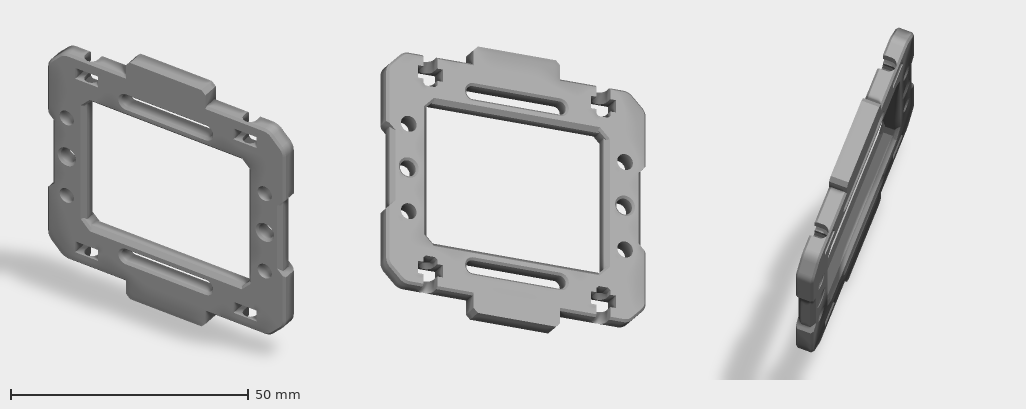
import cadquery as cq
import math

plate_width = 60.0
plate_height = 53.0
thickness = 4.0
corner_cut = 4.0
corner_radius = 3.0
rim_chamfer = 0.5

overall_height = 61.0
tab_width = 20.0
tab_chamfer = 1.0

window_width = 41.0
window_height = 31.95
window_corner_cut = 1.05
window_side_bevel = 1.0
window_corner_bevel = 0.5

recess_depth = 1.0
recess_floor_height = 18.0
recess_bevel = 1.0

slot_length = 23.0
slot_height = 3.0
slot_chamfer = 0.5
slot_offset_z = 19.95

hole_diameter = 3.6
hole_offset_x = 25.0
hole_offset_z = 10.0
countersink_depth = 0.5

pocket_offset_x = 20.0
pocket_offset_z = 22.4
pocket_width = 5.75
pocket_height = 2.8
channel_width = 3.2
channel_tip = 1.5
channel_tip_chamfer = 0.5

half_thickness = thickness / 2
through = 2 * thickness


def prism(sketch, length):
    """Extrude an XZ outline symmetrically about the mid-plane of the plate."""
    return sketch.extrude(length / 2, both=True)


def box(width, height, length):
    """Block centred on the origin with `length` along Y."""
    return prism(cq.Workplane("XZ").rect(width, height), length)


def bevelled_opening(outline, bevel):
    """Cutter through the plate that widens by `bevel` at the front and back faces."""
    cutter = prism(outline(0), thickness)
    for side in (-1, 1):
        flare = outline(bevel).extrude(bevel, taper=45)
        if side < 0:
            flare = flare.mirror("XZ")
        cutter = cutter.union(flare.translate((0, side * half_thickness, 0)))
    return cutter


def make_plate():
    """Solid plate with cut and rounded corners, chamfered rims and two plain tabs."""
    plate = box(plate_width, plate_height, thickness)
    plate = plate.edges("|Y").chamfer(corner_cut)
    plate = plate.edges("|Y").fillet(corner_radius)
    plate = plate.faces("<Y or >Y").chamfer(rim_chamfer)
    tabs = box(tab_width, overall_height, thickness).edges("|Y").chamfer(tab_chamfer)
    return plate.union(tabs)


def make_window():
    """Central window, bevelled on both faces."""
    def sides(growth):
        return cq.Workplane("XZ").rect(window_width + 2 * growth, window_height + 2 * growth)

    corner_reach = (window_width + window_height) / 2 - window_corner_cut
    corner_side = corner_reach * math.sqrt(2)

    def corners(growth):
        side = corner_side + 2 * growth
        return cq.Workplane("XZ").transformed(rotate=(0, 0, 45)).rect(side, side)

    side_cutter = bevelled_opening(sides, window_side_bevel)
    corner_cutter = bevelled_opening(corners, window_corner_bevel)
    return side_cutter.intersect(corner_cutter)


def make_recess():
    """Right edge recess: sloped ends in Z, bevelled along both faces."""
    floor_x = plate_width / 2 - recess_depth
    half_floor = recess_floor_height / 2
    inner_x = floor_x - recess_bevel
    outer_x = floor_x + 2 * recess_depth
    inner_half = half_floor - recess_bevel
    outer_half = half_floor + 2 * recess_depth
    ends = prism(
        cq.Workplane("XZ").polyline([
            (inner_x, -inner_half),
            (outer_x, -outer_half),
            (outer_x, outer_half),
            (inner_x, inner_half),
        ]).close(),
        thickness,
    )
    floor_half_y = half_thickness - recess_bevel
    bevels = cq.Workplane("XY").polyline([
        (inner_x, -half_thickness),
        (floor_x, -floor_half_y),
        (floor_x, floor_half_y),
        (inner_x, half_thickness),
        (outer_x, half_thickness),
        (outer_x, -half_thickness),
    ]).close().extrude(outer_half, both=True)
    return ends.intersect(bevels)


def make_slot():
    """Round-ended slot, chamfered on both faces."""
    def outline(growth):
        return cq.Workplane("XZ").slot2D(slot_length + 2 * growth, slot_height + 2 * growth)

    return bevelled_opening(outline, slot_chamfer)


def make_countersunk_hole():
    """Round hole, countersunk on both faces."""
    def outline(growth):
        return cq.Workplane("XZ").circle(hole_diameter / 2 + growth)

    return bevelled_opening(outline, countersink_depth)


def make_nut_pocket():
    """Upper nut pocket with its screw channel, centred on X = 0."""
    pocket = box(pocket_width, pocket_height, through).translate((0, 0, pocket_offset_z))

    half_width = channel_width / 2
    tip_z = pocket_offset_z - pocket_height / 2 - channel_tip
    channel = (
        cq.Workplane("XY", origin=(0, 0, tip_z))
        .moveTo(-half_width, thickness)
        .lineTo(-half_width, 0)
        .threePointArc((0, -half_width), (half_width, 0))
        .lineTo(half_width, thickness)
        .close()
        .extrude(overall_height / 2 - tip_z)
    )
    tip_block = box(channel_width, overall_height, 2 * through)
    tip_block = tip_block.edges("|Y").chamfer(channel_tip_chamfer)
    tip_block = tip_block.translate((0, 0, tip_z + overall_height / 2))
    channel = channel.intersect(tip_block)
    return pocket.union(channel)


result = make_plate().cut(make_window())

recess = make_recess()
result = result.cut(recess).cut(recess.mirror("YZ"))

for side_z in (-1, 1):
    result = result.cut(make_slot().translate((0, 0, side_z * slot_offset_z)))

plain_hole = prism(cq.Workplane("XZ").circle(hole_diameter / 2), through)
for side_x in (-1, 1):
    x = side_x * hole_offset_x
    result = result.cut(make_countersunk_hole().translate((x, 0, 0)))
    for side_z in (-1, 1):
        result = result.cut(plain_hole.translate((x, 0, side_z * hole_offset_z)))

upper_pocket = make_nut_pocket()
for pocket in (upper_pocket, upper_pocket.mirror("XY")):
    for side_x in (-1, 1):
        result = result.cut(pocket.translate((side_x * pocket_offset_x, 0, 0)))